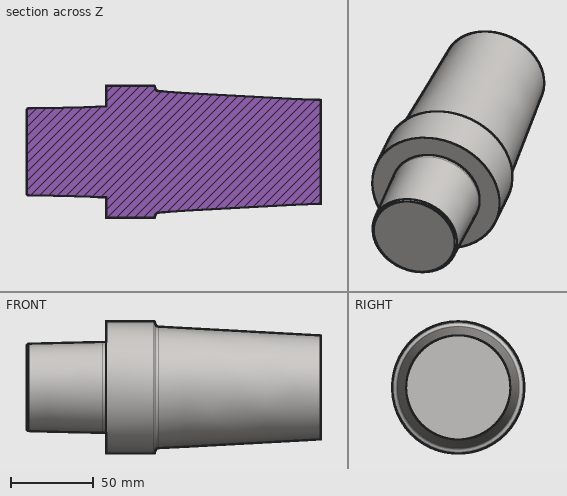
import cadquery as cq

length = 177.8
nose_end = 45.9
collar_start = 48.0
collar_end = 77.7

nose_tip_radius = 26.5
neck_radius = 27.5
collar_radius = 40.0
shank_base_radius = 36.8
shank_end_radius = 31.5

nose_chamfer = 1.0
collar_fillet = 1.0
root_fillet = collar_radius - collar_fillet - shank_base_radius

profile = (
    cq.Workplane("XZ")
    .moveTo(0, 0)
    .lineTo(0, nose_tip_radius - nose_chamfer)
    .lineTo(nose_chamfer, nose_tip_radius)
    .lineTo(nose_end, neck_radius)
    .lineTo(collar_start, neck_radius)
    .lineTo(collar_start, collar_radius)
    .lineTo(collar_end - collar_fillet, collar_radius)
    .radiusArc((collar_end, collar_radius - collar_fillet), collar_fillet)
    .radiusArc((collar_end + root_fillet, shank_base_radius), -root_fillet)
    .lineTo(length, shank_end_radius)
    .lineTo(length, 0)
    .close()
)

result = profile.revolve(360, (0, 0, 0), (1, 0, 0))